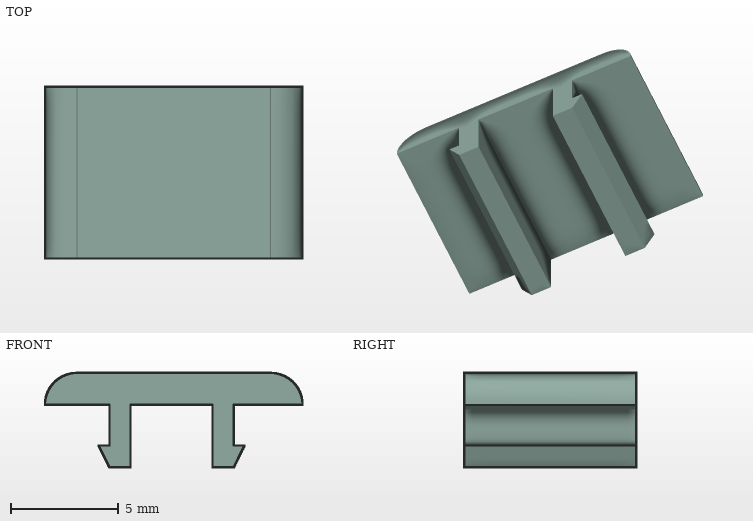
import cadquery as cq
import math

length = 12.0
width = 8.0
height = 4.4
plate_thickness = 1.5
edge_radius = plate_thickness

leg_thickness = 1.0
left_leg_inset = 3.0
right_leg_inset = 3.2
hook_overhang = 0.5
hook_height = 1.02

plate_bottom = height - plate_thickness
half_length = length / 2


def make_plate():
    """Flat plate with both long top edges fully rounded."""
    arc_drop = edge_radius * (1 - math.cos(math.radians(45)))
    flat_half = half_length - edge_radius
    profile = (
        cq.Workplane("XZ")
        .moveTo(-half_length, plate_bottom)
        .threePointArc((-half_length + arc_drop, height - arc_drop), (-flat_half, height))
        .lineTo(flat_half, height)
        .threePointArc((half_length - arc_drop, height - arc_drop), (half_length, plate_bottom))
        .close()
    )
    return profile.extrude(width / 2, both=True)


def make_leg(outer_x, outward):
    """Leg with a tapered hook; outward is -1 or +1 along X."""
    inner_x = outer_x - outward * leg_thickness
    hook_x = outer_x + outward * hook_overhang
    profile = [
        (inner_x, plate_bottom),
        (inner_x, 0),
        (outer_x, 0),
        (hook_x, hook_height),
        (outer_x, hook_height),
        (outer_x, plate_bottom),
    ]
    return cq.Workplane("XZ").polyline(profile).close().extrude(width / 2, both=True)


left_leg = make_leg(-half_length + left_leg_inset, -1)
right_leg = make_leg(half_length - right_leg_inset, 1)
result = make_plate().union(left_leg).union(right_leg)